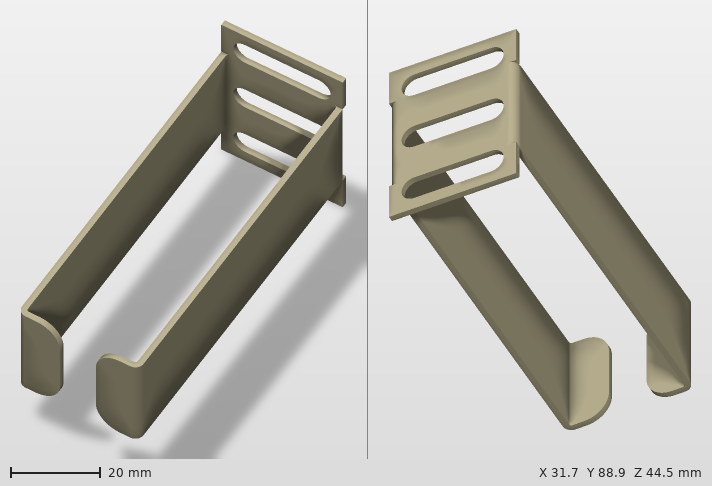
import cadquery as cq

width = 31.7
length = 88.9
plate_height = 44.45

thickness = 1.5
outer_bend_radius = 2.1
inner_bend_radius = outer_bend_radius - thickness

arm_height = 25.4
lip_gap = 9.3
lip_corner_radius = 6.3

slot_length = 25.4
slot_height = 6.3
slot_pitch = (arm_height + slot_height) / 2

front_y = -length / 2
back_y = length / 2


def make_channel():
    """Bent strip: back web, two arms and two lips."""
    outside = (
        cq.Workplane("XY")
        .box(width, length, arm_height)
        .edges("|Z")
        .fillet(outer_bend_radius)
    )
    inside = (
        cq.Workplane("XY")
        .box(width - 2 * thickness, length - 2 * thickness, arm_height)
        .edges("|Z")
        .fillet(inner_bend_radius)
    )
    lip_opening = (
        cq.Workplane("XY")
        .box(lip_gap, thickness, arm_height)
        .translate((0, front_y + thickness / 2, 0))
    )
    channel = outside.cut(inside).cut(lip_opening)

    lip_corners = cq.selectors.BoxSelector(
        (-lip_gap, front_y - thickness, -arm_height),
        (lip_gap, front_y + 2 * thickness, arm_height),
    )
    lip_end_edges = channel.edges("|Y").edges(lip_corners)
    return lip_end_edges.fillet(lip_corner_radius)


def make_tab(side):
    """Flat end of the back plate above (+1) or below (-1) the arms."""
    tab_height = (plate_height - arm_height) / 2
    tab_z = side * (arm_height + tab_height) / 2
    return (
        cq.Workplane("XY")
        .box(width, thickness, tab_height)
        .translate((0, back_y - thickness / 2, tab_z))
    )


def make_slots():
    """Cutters for the three round-ended slots through the back plate."""
    return (
        cq.Workplane("XZ", origin=(0, back_y, 0))
        .pushPoints([(0, -slot_pitch), (0, 0), (0, slot_pitch)])
        .slot2D(slot_length, slot_height)
        .extrude(thickness)
    )


bracket = make_channel()
for side in (-1, 1):
    bracket = bracket.union(make_tab(side))

result = bracket.cut(make_slots())